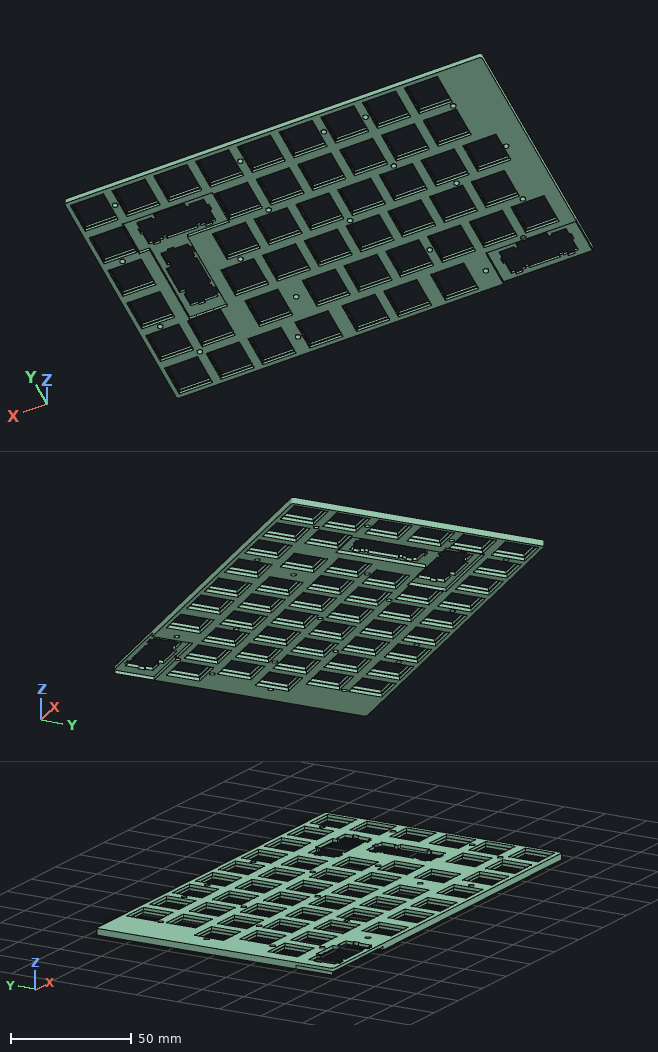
import cadquery as cq


KEY_PITCH = 19.05
COLUMNS = 10
ROWS = 6
PLATE_LENGTH = COLUMNS * KEY_PITCH
PLATE_WIDTH = ROWS * KEY_PITCH
PLATE_THICKNESS = 3.0
CORNER_RADIUS = 1.25

SWITCH_SIZE = 14.0
CLIP_RELIEF_SIZE = 15.0
SCREW_HOLE_DIAMETER = 2.3

STAB_SPACING = 11.9
STAB_WIDTH = 6.65
STAB_TOP = 5.7
STAB_BOTTOM = -6.6
BRIDGE_TOP = 4.73
BRIDGE_BOTTOM = -5.97
FOOT_WIDTH = 3.05
FOOT_BOTTOM = -7.8
SIDE_NOTCH_REACH = 16.1
SIDE_NOTCH_TOP = 2.3
SIDE_NOTCH_BOTTOM = -0.5

CORNER_KEY = (1.125, 0.5, 0)
WIDE_KEY = (8, 4.5, 0)
TALL_KEY = (8.375, 3, -90)

RELIEF_DEPTH = PLATE_THICKNESS / 2
CORNER_RELIEF_WALL = 0.35
CORNER_RELIEF_END = 41.4
CORNER_RELIEF_BACK = 18.15
RELIEF_LENGTH = CORNER_RELIEF_END - CORNER_RELIEF_WALL
RELIEF_WIDTH = 2 * (CORNER_RELIEF_BACK - CORNER_KEY[1] * KEY_PITCH)

KEY_ROWS = [
    (0.5, [3.125, 4.25, 5.25, 6.375, 7.5, 8.5, 9.5]),
    (1.5, [0.75, 1.75, 2.75, 3.75, 4.75, 5.75, 7.125, 8.5, 9.5]),
    (2.5, [1.25, 2.25, 3.25, 4.25, 5.25, 6.25, 7.25, 9.5]),
    (3.5, [1, 2, 3, 4, 5, 6, 7, 9.5]),
    (4.5, [1.5, 2.5, 3.5, 4.5, 5.5, 6.5, 9.5]),
    (5.5, [1.5, 2.5, 3.5, 4.5, 5.5, 6.5, 7.5, 8.5, 9.5]),
]

SCREW_POSITIONS = [
    (2.375, 0.5), (6.875, 0.5),
    (1.25, 1), (9, 1),
    (3.25, 1.54), (6.45, 1.54),
    (0.8125, 2), (9.5, 2),
    (1.95, 3), (4.5, 3), (7.125, 3),
    (0.54, 3.5),
    (3, 4), (6, 4), (9.5, 4),
    (1.125, 5),
    (3, 5.5), (4, 5.5), (6, 5.5), (9, 5.5),
]


def to_mm(units_x, units_y):
    """Convert a position in key units to millimetres."""
    return (units_x * KEY_PITCH, units_y * KEY_PITCH)


def block(x_min, x_max, y_min, y_max, height):
    """Box between the given limits, standing on Z = 0."""
    return cq.Workplane("XY").box(
        x_max - x_min, y_max - y_min, height, centered=False
    ).translate((x_min, y_min, 0))


def place_at_key(body, key):
    """Move a body built around the origin to a wide key."""
    units_x, units_y, angle = key
    x, y = to_mm(units_x, units_y)
    return body.rotate((0, 0, 0), (0, 0, 1), angle).translate((x, y, 0))


def make_plate():
    """Plain plate with rounded corners."""
    plate = block(0, PLATE_LENGTH, 0, PLATE_WIDTH, PLATE_THICKNESS)
    return plate.edges("|Z").fillet(CORNER_RADIUS)


def make_switch_openings():
    """Square openings that widen below mid-thickness."""
    centres = [to_mm(x, row_y) for row_y, row in KEY_ROWS for x in row]
    keys = cq.Workplane("XY").pushPoints(centres)
    openings = keys.rect(SWITCH_SIZE, SWITCH_SIZE).extrude(PLATE_THICKNESS)
    reliefs = keys.rect(CLIP_RELIEF_SIZE, CLIP_RELIEF_SIZE).extrude(RELIEF_DEPTH)
    return openings.union(reliefs)


def make_screw_holes():
    """Through holes between the keys."""
    centres = [to_mm(x, y) for x, y in SCREW_POSITIONS]
    return (
        cq.Workplane("XY")
        .pushPoints(centres)
        .circle(SCREW_HOLE_DIAMETER / 2)
        .extrude(PLATE_THICKNESS)
    )


def make_stabilizer_opening():
    """Switch square joined to a stabilizer housing on either side."""
    half_switch = SWITCH_SIZE / 2
    height = PLATE_THICKNESS
    opening = block(-half_switch, half_switch, -half_switch, half_switch, height)
    opening = opening.union(block(-STAB_SPACING, STAB_SPACING, BRIDGE_BOTTOM, BRIDGE_TOP, height))
    opening = opening.union(
        block(-SIDE_NOTCH_REACH, SIDE_NOTCH_REACH, SIDE_NOTCH_BOTTOM, SIDE_NOTCH_TOP, height)
    )
    for side in (-1, 1):
        centre = side * STAB_SPACING
        housing = block(
            centre - STAB_WIDTH / 2, centre + STAB_WIDTH / 2, STAB_BOTTOM, STAB_TOP, height
        )
        foot = block(
            centre - FOOT_WIDTH / 2, centre + FOOT_WIDTH / 2, FOOT_BOTTOM, STAB_TOP, height
        )
        opening = opening.union(housing).union(foot)
    return opening


def make_stabilizer_relief():
    """Relief pocket centred on its key."""
    half_length = RELIEF_LENGTH / 2
    half_width = RELIEF_WIDTH / 2
    return block(-half_length, half_length, -half_width, half_width, RELIEF_DEPTH)


def make_corner_relief():
    """Relief under the corner key, open at the -Y edge of the plate."""
    return block(CORNER_RELIEF_WALL, CORNER_RELIEF_END, 0, CORNER_RELIEF_BACK, RELIEF_DEPTH)


result = make_plate().cut(make_switch_openings()).cut(make_screw_holes())
for key in (CORNER_KEY, WIDE_KEY, TALL_KEY):
    result = result.cut(place_at_key(make_stabilizer_opening(), key))
for key in (WIDE_KEY, TALL_KEY):
    result = result.cut(place_at_key(make_stabilizer_relief(), key))
result = result.cut(make_corner_relief()).solids()